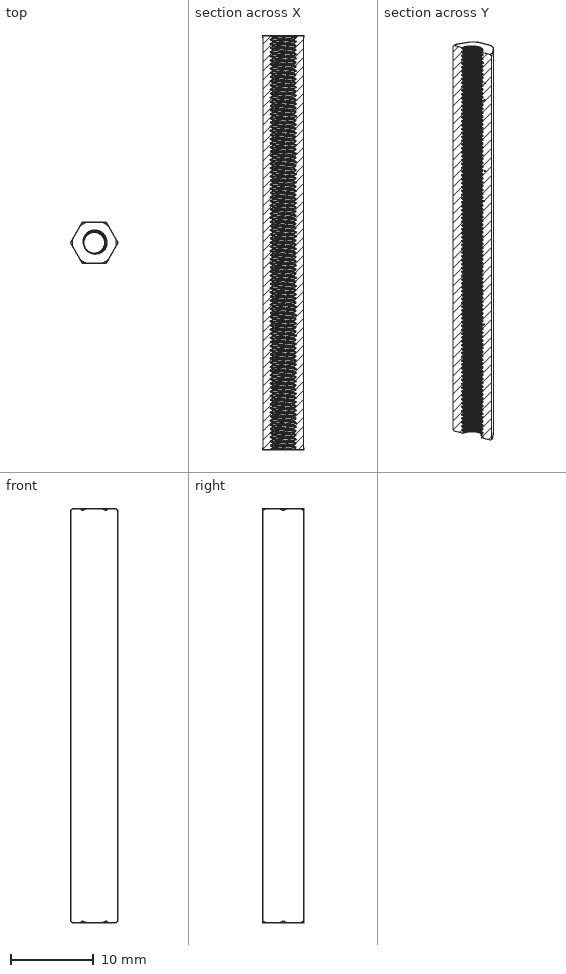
import cadquery as cq
import math

length = 50.0
across_flats = 5.0
edge_radius = 0.25
end_face_diameter = 5.3
end_chamfer_angle = 45.0

minor_radius = 2.55 / 2
major_radius = 3.1 / 2
pitch = 0.5
root_share = 1 / 8
crest_share = 1 / 4
turns_per_stretch = 1
flank_points = 4
root_angle_at_end = 75.0


def hex_bar():
    """Hexagonal bar with flats facing +Y and -Y and rounded long edges."""
    across_corners = across_flats / math.cos(math.pi / 6)
    bar = cq.Workplane("XY").polygon(6, across_corners).extrude(length)
    return bar.edges("|Z").fillet(edge_radius)


def corner_limit():
    """Cylinder with conical ends that trims the corners of the bar ends."""
    outer_radius = across_flats
    end_radius = end_face_diameter / 2
    cone_height = (outer_radius - end_radius) * math.tan(math.radians(end_chamfer_angle))
    profile = [
        (0, 0),
        (end_radius, 0),
        (outer_radius, cone_height),
        (outer_radius, length - cone_height),
        (end_radius, length),
        (0, length),
    ]
    return cq.Workplane("XZ").polyline(profile).close().revolve(360, (0, 0), (0, 1))


def polar_point(radius, angle):
    return (radius * math.cos(angle), radius * math.sin(angle))


def thread_section():
    """Flat slice across the threaded hole: root arc, flank spiral, crest arc, flank spiral."""
    root_end = math.pi * root_share
    crest_start = math.pi * (1 - crest_share)

    def rising_flank(t):
        radius = major_radius + (minor_radius - major_radius) * t
        return polar_point(radius, root_end + (crest_start - root_end) * t)

    def falling_flank(t):
        x, y = rising_flank(1 - t)
        return (x, -y)

    return (
        cq.Workplane("XY")
        .moveTo(*polar_point(major_radius, -root_end))
        .threePointArc((major_radius, 0), polar_point(major_radius, root_end))
        .parametricCurve(rising_flank, N=flank_points, makeWire=False)
        .threePointArc((-minor_radius, 0), polar_point(minor_radius, -crest_start))
        .parametricCurve(falling_flank, N=flank_points, makeWire=False)
        .wire()
    )


def threaded_hole():
    """Solid that fills the threaded hole, joined from equal twisted stretches."""
    depth = turns_per_stretch * pitch
    stretch = thread_section().twistExtrude(depth, 360 * turns_per_stretch)
    stretch_sides = stretch.faces("not |Z")
    skin = stretch.faces("<Z").vals()
    for index in range(round(length / depth)):
        skin += stretch_sides.translate((0, 0, index * depth)).vals()
    skin += stretch.faces(">Z").translate((0, 0, length - depth)).vals()
    hole = cq.Workplane(cq.Solid.makeSolid(cq.Shell.makeShell(skin)))
    return hole.rotate((0, 0, 0), (0, 0, 1), root_angle_at_end)


result = hex_bar().intersect(corner_limit()).cut(threaded_hole())